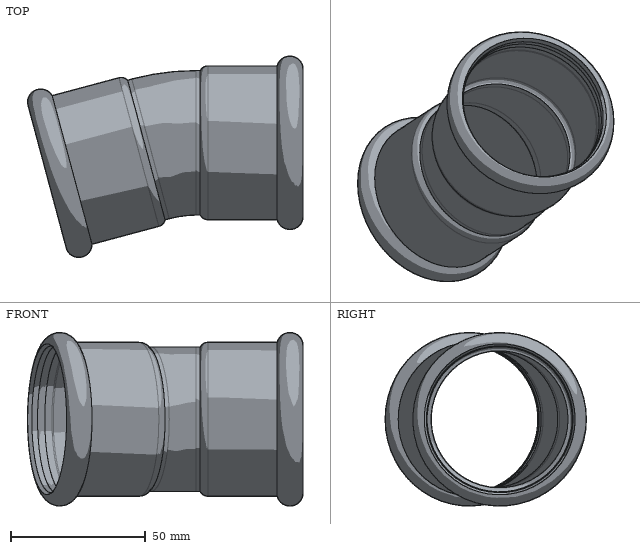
import cadquery as cq
import math


bend_angle = 15.0
bend_radius = 65.4
bend_outer_radius = 54.0 / 2
bend_inner_radius = 51.0 / 2
wall = bend_outer_radius - bend_inner_radius

socket_length = 40.0
socket_outer_radius = 57.5 / 2
socket_inner_radius = 54.5 / 2
mouth_radius = 54.7 / 2
shoulder_center_x = 4.5
shoulder_inner_fillet = socket_inner_radius - bend_inner_radius
shoulder_outer_fillet = shoulder_inner_fillet + wall

bead_outer_radius = 64.77 / 2
bead_section_radius = 4.95
bead_center_radius = bead_outer_radius - bead_section_radius
bead_center_x = socket_length - bead_section_radius

lip_radius = 28.15
lip_depth = 1.5
step_end = 30.75
step_length = 0.5
seal_start = 33.5
seal_end = 36.3
seal_bulge = 0.3


def arc_point(center_x, center_r, radius, angle):
    """Point on a circle in the section plane, angle in degrees from the socket axis."""
    turn = math.radians(angle)
    return (center_x + radius * math.cos(turn), center_r + radius * math.sin(turn))


def make_socket():
    """Socket along +X, starting at the origin, as a revolved wall section."""
    shoulder_center_r = socket_outer_radius - shoulder_outer_fillet
    start_rise = math.asin((bend_outer_radius - shoulder_center_r) / shoulder_outer_fillet)
    start_angle = 180 - math.degrees(start_rise)
    shoulder_mid_angle = (start_angle + 90) / 2
    shoulder_start = arc_point(shoulder_center_x, shoulder_center_r, shoulder_outer_fillet, start_angle)
    shoulder_mid = arc_point(shoulder_center_x, shoulder_center_r, shoulder_outer_fillet, shoulder_mid_angle)

    bead_rise = math.asin((socket_outer_radius - bead_center_radius) / bead_section_radius)
    bead_angle = 180 - math.degrees(bead_rise)
    bead_start = arc_point(bead_center_x, bead_center_radius, bead_section_radius, bead_angle)
    bead_top = (bead_center_x, bead_outer_radius)
    lip_rise = math.asin((lip_radius - bead_center_radius) / bead_section_radius)
    bead_end = arc_point(bead_center_x, bead_center_radius, bead_section_radius, math.degrees(lip_rise))

    seal_crest = ((seal_start + seal_end) / 2, mouth_radius - seal_bulge)

    quarter_mid_angle = 135
    inner_mid = arc_point(shoulder_center_x, shoulder_center_r, shoulder_inner_fillet, quarter_mid_angle)
    stop_x = shoulder_center_x - shoulder_inner_fillet

    section = (
        cq.Workplane("XY")
        .moveTo(0, bend_inner_radius)
        .lineTo(0, bend_outer_radius)
        .lineTo(*shoulder_start)
        .threePointArc(shoulder_mid, (shoulder_center_x, socket_outer_radius))
        .lineTo(*bead_start)
        .threePointArc(bead_top, bead_end)
        .lineTo(socket_length - lip_depth, mouth_radius)
        .lineTo(seal_end, mouth_radius)
        .threePointArc(seal_crest, (seal_start, mouth_radius))
        .lineTo(step_end, mouth_radius)
        .lineTo(step_end - step_length, socket_inner_radius)
        .lineTo(shoulder_center_x, socket_inner_radius)
        .threePointArc(inner_mid, (stop_x, bend_inner_radius))
        .close()
    )
    return section.revolve(360, (0, 0, 0), (1, 0, 0))


def make_bend():
    """Bent tube from the origin toward -X, curving toward -Y."""
    return (
        cq.Workplane("YZ")
        .circle(bend_outer_radius)
        .circle(bend_inner_radius)
        .revolve(bend_angle, (-bend_radius, 0, 0), (-bend_radius, 1, 0))
    )


bend_center = (0, -bend_radius, 0)
bend_axis_end = (0, -bend_radius, 1)
straight_socket = make_socket()
angled_socket = (
    straight_socket
    .rotate((0, 0, 0), (0, 0, 1), 180)
    .rotate(bend_center, bend_axis_end, bend_angle)
)

result = straight_socket.union(make_bend()).union(angled_socket)